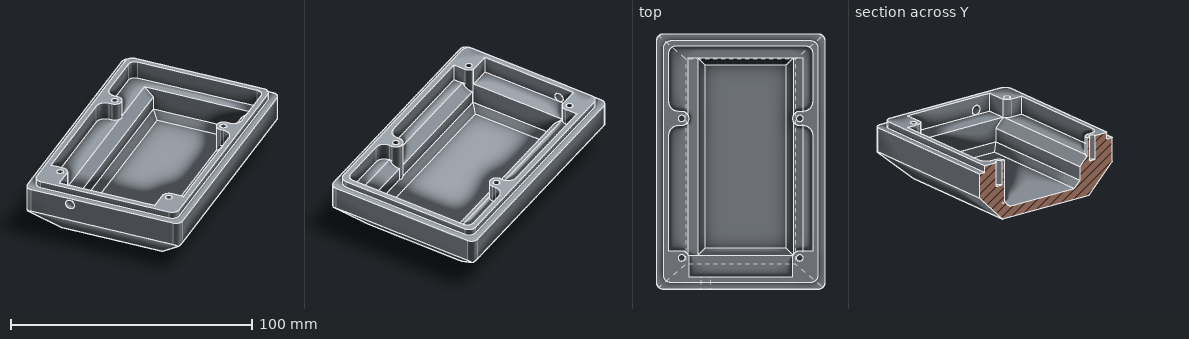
import cadquery as cq

length = 106.0
width = 70.0
height = 26.0
corner_radius = 3.0
taper_height = 12.3
base_width = 45.4
base_length = 85.0

lip_height = 3.0
lip_inset = 2.9
lip_corner_radius = 3.2

wall = 5.1
shelf_depth = 8.0
pocket_corner_radius = 3.0

boss_x = 24.5
boss_rear_y = 17.9
boss_front_y = -40.0
boss_radius = 3.0
web_fillet_radius = 4.0
screw_hole_diameter = 2.8
screw_hole_depth = 10.6

floor_thickness = 5.0
well_left = -17.8
well_right = 21.8
well_front = -38.9
well_rear = 43.0
bevel_size = 4.0
well_foot_height = 3.0
well_foot_inset = 3.0

cable_hole_diameter = 4.0
cable_hole_x = -14.5
cable_hole_depth = 5.8

shelf_z = height - shelf_depth
pocket_half_width = width / 2 - wall
pocket_half_length = length / 2 - wall
boss_points = [(side * boss_x, y) for side in (-1, 1) for y in (boss_front_y, boss_rear_y)]


def box(x_min, x_max, y_min, y_max, z_min, z_max):
    size = (x_max - x_min, y_max - y_min, z_max - z_min)
    return cq.Workplane("XY").box(*size, centered=False).translate((x_min, y_min, z_min))


def centered_box(size_x, size_y, z_min, z_max):
    return box(-size_x / 2, size_x / 2, -size_y / 2, size_y / 2, z_min, z_max)


def make_body():
    straight_top = height - lip_height
    tapered = cq.Workplane("XY").rect(base_width, base_length)
    tapered = tapered.workplane(offset=taper_height).rect(width, length).loft(ruled=True)
    straight = centered_box(width, length, taper_height, straight_top)
    rounded = centered_box(width, length, 0, straight_top).edges("|Z").fillet(corner_radius)
    lip = centered_box(width - 2 * lip_inset, length - 2 * lip_inset, straight_top, height)
    lip = lip.edges("|Z").fillet(lip_corner_radius)
    return tapered.union(straight).intersect(rounded).union(lip)


def make_upper_pocket():
    wide_front = boss_front_y + boss_radius
    pocket = box(-pocket_half_width, pocket_half_width, wide_front, pocket_half_length, shelf_z, height)
    for side in (-1, 1):
        web_x = sorted((side * boss_x, side * pocket_half_width))
        pocket = pocket.cut(
            box(*web_x, boss_rear_y - boss_radius, boss_rear_y + boss_radius, shelf_z, height)
        )
    mid_z = (shelf_z + height) / 2
    roundings = [
        (pocket_half_length, pocket_corner_radius),
        (boss_rear_y + boss_radius, web_fillet_radius),
        (boss_rear_y - boss_radius, web_fillet_radius),
    ]
    for corner_y, radius in roundings:
        for side in (-1, 1):
            corner = (side * pocket_half_width, corner_y, mid_z)
            pocket = pocket.edges("|Z").edges(cq.selectors.NearestToPointSelector(corner)).fillet(radius)
    bay_half_width = boss_x - boss_radius
    bay = box(-bay_half_width, bay_half_width, -pocket_half_length, wide_front, shelf_z, height)
    front_gap = box(-boss_x, boss_x, well_front, wide_front, shelf_z, height)
    return pocket.union(bay).union(front_gap)


def make_well():
    floor_z = floor_thickness
    bevel_z = shelf_z - bevel_size
    section = [
        (well_left, floor_z),
        (well_right, floor_z),
        (well_right, bevel_z),
        (well_right + bevel_size, shelf_z),
        (well_left - bevel_size, shelf_z),
        (well_left, bevel_z),
    ]
    well = cq.Workplane("XZ").polyline(section).close().extrude(well_rear - well_front)
    well = well.translate((0, well_rear, 0))
    return well.faces("<Z").chamfer(well_foot_height, well_foot_inset)


def make_bosses():
    bosses = cq.Workplane("XY").workplane(offset=floor_thickness).pushPoints(boss_points)
    return bosses.circle(boss_radius).extrude(height - floor_thickness)


def make_screw_holes():
    holes = cq.Workplane("XY").workplane(offset=height - screw_hole_depth).pushPoints(boss_points)
    return holes.circle(screw_hole_diameter / 2).extrude(screw_hole_depth)


def make_cable_hole():
    hole = cq.Workplane("XZ").center(cable_hole_x, height - cable_hole_depth)
    hole = hole.circle(cable_hole_diameter / 2).extrude(wall)
    return hole.translate((0, wall - length / 2, 0))


cavity = make_upper_pocket().union(make_well()).cut(make_bosses())
result = make_body().cut(cavity).cut(make_screw_holes()).cut(make_cable_hole())